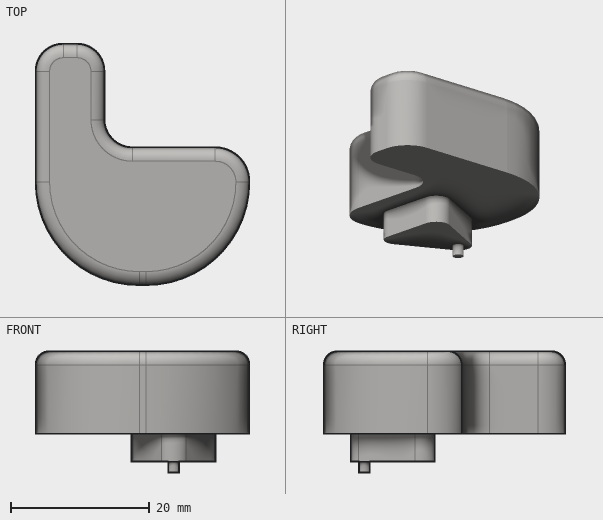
import cadquery as cq
import math

BODY_WIDTH = 31.0
BODY_LENGTH = 35.0
BODY_HEIGHT = 12.0
ARM_WIDTH = 10.0
ARM_END_RADIUS = 4.0
INNER_RADIUS = 4.0
SHOULDER_RADIUS = 5.0
HEEL_RADIUS = 15.0
TOP_FILLET = 2.0

LUG_DEPTH = 4.0
LUG_CORNER_RADIUS = 2.0
LUG_CENTER_X = 20.0
LUG_FRONT_Y = 5.9
LUG_BASE = 8.2
LUG_HEIGHT = 8.2

PIN_DIAMETER = 1.6
PIN_LENGTH = 1.6


def arc_to(outline, end, center, radius, middle_angle):
    """Add an arc to `end` whose midpoint lies at `middle_angle` degrees about `center`."""
    angle = math.radians(middle_angle)
    middle = (center[0] + radius * math.cos(angle), center[1] + radius * math.sin(angle))
    return outline.threePointArc(middle, end)


def make_body():
    """Extrude the knob outline, drawn counterclockwise from the heel, and round its top rim."""
    heel_right_x = BODY_WIDTH - HEEL_RADIUS
    shoulder_x = BODY_WIDTH - SHOULDER_RADIUS
    shoulder_y = HEEL_RADIUS + SHOULDER_RADIUS
    inner_x = ARM_WIDTH + INNER_RADIUS
    inner_y = shoulder_y + INNER_RADIUS
    arm_right_x = ARM_WIDTH - ARM_END_RADIUS
    arm_end_y = BODY_LENGTH - ARM_END_RADIUS

    outline = cq.Workplane("XY").moveTo(HEEL_RADIUS, 0).lineTo(heel_right_x, 0)
    outline = arc_to(outline, (BODY_WIDTH, HEEL_RADIUS), (heel_right_x, HEEL_RADIUS), HEEL_RADIUS, -45)
    outline = arc_to(
        outline, (shoulder_x, shoulder_y), (shoulder_x, HEEL_RADIUS), SHOULDER_RADIUS, 45
    )
    outline = outline.lineTo(inner_x, shoulder_y)
    outline = arc_to(outline, (ARM_WIDTH, inner_y), (inner_x, inner_y), INNER_RADIUS, 225)
    outline = outline.lineTo(ARM_WIDTH, arm_end_y)
    outline = arc_to(
        outline, (arm_right_x, BODY_LENGTH), (arm_right_x, arm_end_y), ARM_END_RADIUS, 45
    )
    outline = outline.lineTo(ARM_END_RADIUS, BODY_LENGTH)
    outline = arc_to(outline, (0, arm_end_y), (ARM_END_RADIUS, arm_end_y), ARM_END_RADIUS, 135)
    outline = outline.lineTo(0, HEEL_RADIUS)
    outline = arc_to(outline, (HEEL_RADIUS, 0), (HEEL_RADIUS, HEEL_RADIUS), HEEL_RADIUS, 225)
    return outline.close().extrude(BODY_HEIGHT).faces(">Z").edges().fillet(TOP_FILLET)


def make_lug():
    """Rounded triangle: the triangle of corner centres grown outward by the corner radius."""
    back_y = LUG_FRONT_Y + LUG_HEIGHT
    corners = [
        (LUG_CENTER_X, LUG_FRONT_Y),
        (LUG_CENTER_X + LUG_BASE / 2, back_y),
        (LUG_CENTER_X - LUG_BASE / 2, back_y),
    ]
    triangle = cq.Workplane("XY").polyline(corners).close()
    return triangle.offset2D(LUG_CORNER_RADIUS, "arc").extrude(-LUG_DEPTH)


def make_pin():
    """Round pin hanging from the underside of the lug."""
    underside = cq.Workplane("XY", origin=(LUG_CENTER_X, LUG_FRONT_Y, -LUG_DEPTH))
    return underside.circle(PIN_DIAMETER / 2).extrude(-PIN_LENGTH)


result = make_body().union(make_lug()).union(make_pin())